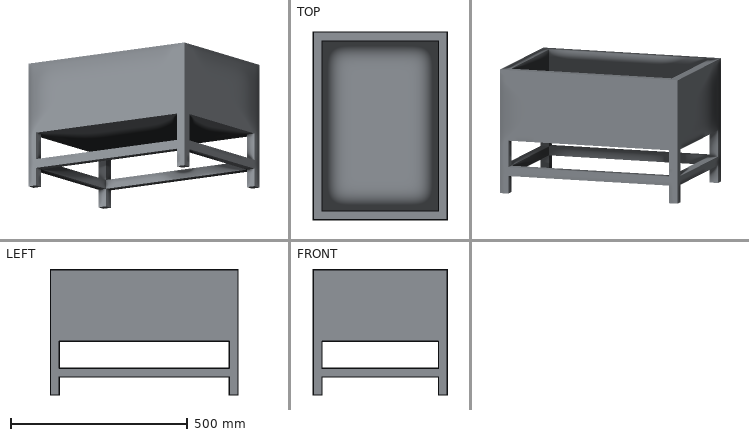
import cadquery as cq

width = 381.0
length = 533.5
height = 356.0

stock = 25.5

tub_height = 203.0
rail_bottom = 50.5
leg_height = height - tub_height


def block(size_x, size_y, size_z, bottom):
    """Box centred on the Z axis with its underside at the given height."""
    box = cq.Workplane("XY").box(size_x, size_y, size_z, centered=(True, True, False))
    return box.translate((0, 0, bottom))


def frame(size_z, bottom):
    """Rectangular ring, one stock thickness wide, following the outer outline."""
    outer = block(width, length, size_z, bottom)
    inner = block(width - 2 * stock, length - 2 * stock, size_z, bottom)
    return outer.cut(inner)


def make_tub():
    """Open-topped tub: a floor plate with a wall ring standing on it."""
    floor = block(width, length, stock, leg_height)
    walls = frame(tub_height - stock, leg_height + stock)
    return floor.union(walls)


def make_legs():
    """Four square legs flush with the outer corners."""
    return (
        cq.Workplane("XY")
        .rect(width - stock, length - stock, forConstruction=True)
        .vertices()
        .rect(stock, stock)
        .extrude(leg_height)
    )


rails = frame(stock, rail_bottom)
result = make_tub().union(make_legs()).union(rails)